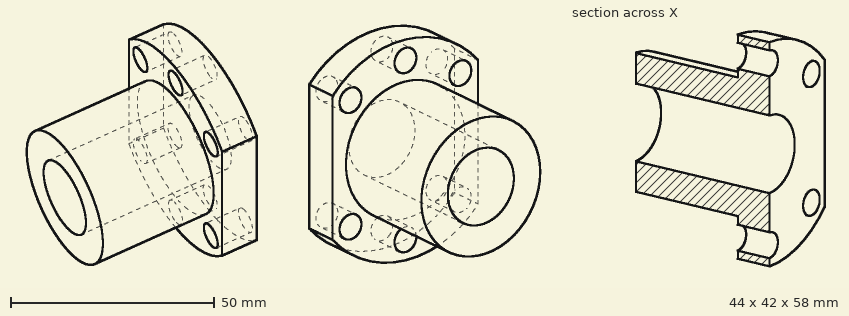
import cadquery as cq
import math

total_length = 42.0
flange_diameter = 58.0
flange_width = 44.0
flange_thickness = 10.0
sleeve_diameter = 36.0
bore_diameter = 20.0

bolt_circle_diameter = 47.0
bolt_hole_diameter = 6.6
bolt_hole_angles = (45, 90, 135, 225, 270, 315)


def cylinder_along_y(diameter, length):
    """Cylinder from the flange back face (Y = 0) toward -Y."""
    return cq.Workplane("XZ").circle(diameter / 2).extrude(length)


def make_flange():
    """Round flange trimmed by two flats parallel to the YZ plane."""
    disc = cylinder_along_y(flange_diameter, flange_thickness)
    trim = cq.Workplane("XZ").rect(flange_width, flange_diameter).extrude(flange_thickness)
    return disc.intersect(trim)


def make_bolt_holes():
    """Cylinders for the through holes, three on each rounded side of the flange."""
    radius = bolt_circle_diameter / 2
    centers = []
    for angle in bolt_hole_angles:
        direction = math.radians(angle)
        centers.append((radius * math.cos(direction), radius * math.sin(direction)))
    return (
        cq.Workplane("XZ")
        .pushPoints(centers)
        .circle(bolt_hole_diameter / 2)
        .extrude(flange_thickness)
    )


sleeve = cylinder_along_y(sleeve_diameter, total_length)
bore = cylinder_along_y(bore_diameter, total_length)

result = make_flange().union(sleeve).cut(bore).cut(make_bolt_holes())